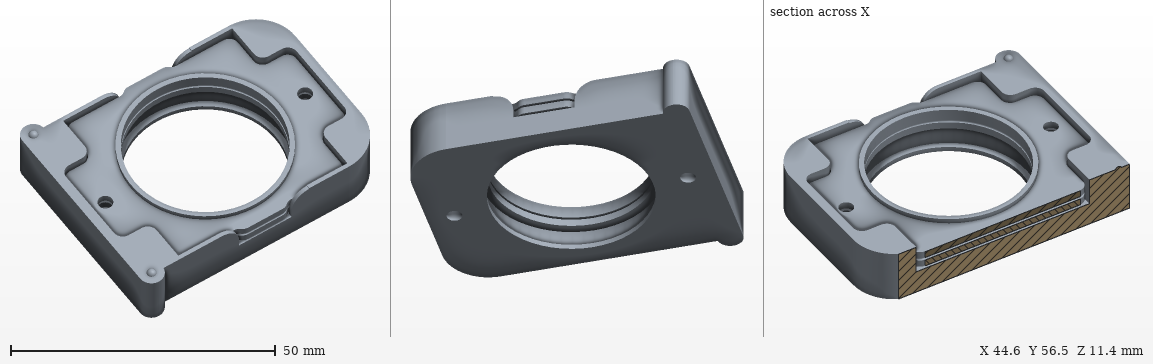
import cadquery as cq
import math

housing_width = 40.3
housing_length = 56.45
rear_y = 28.15
front_y = rear_y - housing_length
rear_height = 10.95
front_height = 10.75
rear_corner_radius = 9.0

bar_length = 44.6
bar_depth = 5.05
bar_end_radius = 2.5
bar_y = front_y + bar_depth / 2
dome_x = bar_length / 2 - bar_end_radius
dome_radius = 1.0
dome_top = 11.45

pocket_floor = 5.0
pocket_size = 38.6
pocket_tab_width = 20.0
pocket_tab_length = 52.6
corner_radius = 2.0

bore_diameter = 31.9
seat_diameter = 34.4
lip_height = 1.0

window_half_width = 6.0
shoulder_radius = 4.0

plate_thickness = 1.5
plate_gap = 0.5
plate_clearance = 0.15
plate_size = pocket_size - 2 * plate_clearance
plate_tab_width = pocket_tab_width - 2 * plate_clearance
plate_tab_length = pocket_tab_length - 2 * plate_clearance
side_tab_half_flat = 3.9
rim_diameter = 33.9
rim_height = 1.0
lower_plate_bottom = pocket_floor + plate_gap
upper_plate_bottom = lower_plate_bottom + plate_thickness + plate_gap

screw_hole_diameter = 3.0
screw_hole_y = 22.8


def level(height):
    """Horizontal workplane at the given height."""
    return cq.Workplane("XY").workplane(offset=height)


def cylinder(diameter, height, bottom):
    """Upright cylinder on the bore axis."""
    return level(bottom).circle(diameter / 2).extrude(height)


def screw_holes(height, bottom):
    """Cutters for the two screw holes."""
    centres = level(bottom).pushPoints([(0, screw_hole_y), (0, -screw_hole_y)])
    return centres.circle(screw_hole_diameter / 2).extrude(height)


def cross(size, tab_width, tab_length, height, bottom):
    """Square block with a rounded tab at each end; the four corners of the square stay sharp."""
    square = level(bottom).rect(size, size).extrude(height)
    strip = level(bottom).rect(tab_width, tab_length).extrude(height)
    half_zone = (size + tab_width) / 4
    tab_zone = cq.selectors.BoxSelector(
        (-half_zone, -tab_length, bottom),
        (half_zone, tab_length, bottom + height),
    )
    return square.union(strip).edges("|Z").edges(tab_zone).fillet(corner_radius)


def hinge_bar():
    """Bar along the front edge with rounded, overhanging ends."""
    bar = level(0).center(0, bar_y).rect(bar_length, bar_depth).extrude(front_height)
    return bar.edges("|Z").fillet(bar_end_radius)


def hinge_domes():
    """Spheres sunk into the ends of the hinge bar so that only their caps stand out."""
    centres = level(dome_top - dome_radius).pushPoints([(-dome_x, bar_y), (dome_x, bar_y)])
    return centres.sphere(dome_radius)


def housing_block():
    """Block with rounded rear corners; the front part, up to the rear window shoulders, is lower."""
    step_y = window_half_width + shoulder_radius
    front_length = step_y - bar_y
    rear_length = rear_y - step_y
    front = level(0).center(0, bar_y + front_length / 2).rect(housing_width, front_length)
    rear = level(0).center(0, step_y + rear_length / 2).rect(housing_width, rear_length)
    rear = rear.extrude(rear_height).edges("|Z and >Y").fillet(rear_corner_radius)
    return front.extrude(front_height).union(rear)


def wall_windows():
    """Cutter for the windows in both side walls; the shoulders end level with the wall top."""
    shoulder_start = window_half_width + shoulder_radius
    shoulder_bottom = front_height - shoulder_radius
    bulge = shoulder_radius * (1 - math.sqrt(0.5))
    middle_y = window_half_width + bulge
    middle_z = front_height - bulge
    profile = (
        cq.Workplane("YZ")
        .moveTo(-window_half_width, pocket_floor)
        .lineTo(-window_half_width, shoulder_bottom)
        .threePointArc((-middle_y, middle_z), (-shoulder_start, front_height))
        .lineTo(shoulder_start, front_height)
        .threePointArc((middle_y, middle_z), (window_half_width, shoulder_bottom))
        .lineTo(window_half_width, pocket_floor)
        .close()
    )
    return profile.extrude(housing_width, both=True)


def make_housing():
    """Housing with its pocket, stepped bore, side windows, screw holes and hinge bar."""
    pocket = cross(pocket_size, pocket_tab_width, pocket_tab_length, rear_height, pocket_floor)
    housing = housing_block().union(hinge_bar())
    housing = housing.cut(pocket)
    housing = housing.cut(wall_windows())
    housing = housing.cut(cylinder(bore_diameter, lip_height, 0))
    housing = housing.cut(cylinder(seat_diameter, pocket_floor - lip_height, lip_height))
    housing = housing.cut(screw_holes(pocket_floor, 0))
    return housing.union(hinge_domes())


def side_tabs(bottom):
    """Bar across a plate whose ends run out to the housing sides in S-curves."""
    outer_x = housing_width / 2
    inner_x = plate_size / 2
    turn = math.acos(1 - (outer_x - inner_x) / (2 * corner_radius))
    arc_run = corner_radius * math.sin(turn)
    middle_x = (outer_x + inner_x) / 2
    middle_y = side_tab_half_flat + arc_run
    root_y = side_tab_half_flat + 2 * arc_run
    half_turn_x = corner_radius * (1 - math.cos(turn / 2))
    half_turn_y = corner_radius * math.sin(turn / 2)
    quarter = (
        level(bottom)
        .lineTo(outer_x, 0)
        .lineTo(outer_x, side_tab_half_flat)
        .threePointArc((outer_x - half_turn_x, side_tab_half_flat + half_turn_y), (middle_x, middle_y))
        .threePointArc((inner_x + half_turn_x, root_y - half_turn_y), (inner_x, root_y))
        .lineTo(0, root_y)
        .close()
        .extrude(plate_thickness)
    )
    half = quarter.union(quarter.mirror("XZ"))
    return half.union(half.mirror("YZ"))


def make_plate(bottom):
    """Cross-shaped plate with rounded corners and side tabs that fill the wall windows."""
    plate = cross(plate_size, plate_tab_width, plate_tab_length, plate_thickness, bottom)
    plate = plate.edges("|Z").edges("<X or >X").fillet(corner_radius)
    return plate.union(side_tabs(bottom))


def make_lower_plate():
    """Plain plate with the bore and the screw holes."""
    plate = make_plate(lower_plate_bottom)
    plate = plate.cut(cylinder(bore_diameter, plate_thickness, lower_plate_bottom))
    return plate.cut(screw_holes(plate_thickness, lower_plate_bottom))


def make_upper_plate():
    """Plate with a raised rim around the bore."""
    rim_extent = plate_thickness + rim_height
    plate = make_plate(upper_plate_bottom)
    plate = plate.union(cylinder(rim_diameter, rim_extent, upper_plate_bottom))
    plate = plate.cut(cylinder(bore_diameter, rim_extent, upper_plate_bottom))
    return plate.cut(screw_holes(plate_thickness, upper_plate_bottom))


housing = make_housing()
lower_plate = make_lower_plate()
upper_plate = make_upper_plate()

result = cq.Compound.makeCompound([housing.val(), lower_plate.val(), upper_plate.val()])